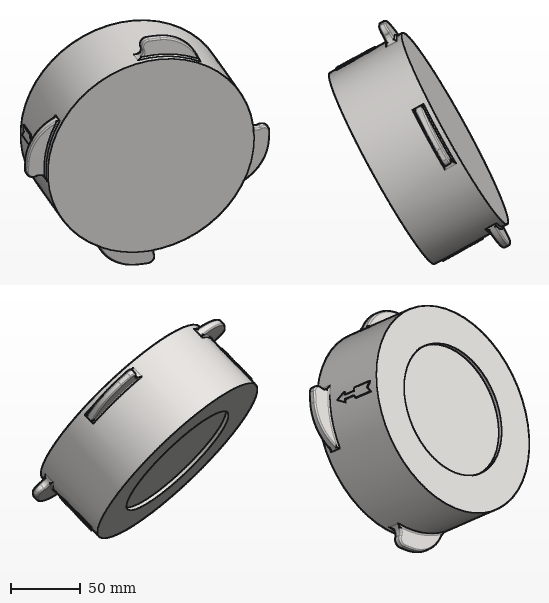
import cadquery as cq
import math

BODY_LENGTH = 60.0
BODY_RADIUS = 157.0 / 2
RECESS_RADIUS = 100.0 / 2
RECESS_DEPTH = 3.0

LUG_COUNT = 4
LUG_X = 51.5
LUG_TIP_RADIUS = 92.5
LUG_ROOT_THICKNESS = 6.7
LUG_TIP_THICKNESS = 5.2
LUG_BURIED_RADIUS = 0.8 * BODY_RADIUS
LUG_EDGE_ROUND = 1.1
FOOT_FILLET = 1.3
TIP_START_Y = 9.2
BACK_RADIUS = 35.2
NOSE_RADIUS = 5.2
FLARE_Y = -9.2
FLARE_RADIUS = 5.2

ARROW_COUNT = 2
ARROW_RELIEF = 1.0
ARROW_Z = 7.0
ARROW_TAIL_X = 6.1
ARROW_NOTCH_X = 8.9
ARROW_NECK_START_X = 21.0
ARROW_NECK_END_X = 22.4
ARROW_HEAD_X = 31.5
ARROW_TIP_X = 38.8
ARROW_HALF_WIDTH = 4.0
ARROW_NECK_HALF_WIDTH = 1.7

AXIS_POINT = (0, 0)
X_AXIS = ((0, 0, 0), (1, 0, 0))


def cylinder(radius, length):
    return cq.Workplane("YZ").circle(radius).extrude(length)


def point_on(centre, radius, angle):
    return (centre[0] + radius * math.cos(angle), centre[1] + radius * math.sin(angle))


def at_radius(y, radius):
    """Point above the axis with a given y and distance from the axis."""
    return (y, math.sqrt(radius**2 - y**2))


def along_radius(point, radius):
    """The point moved along its own radius to another distance from the axis."""
    scale = radius / math.hypot(*point)
    return (point[0] * scale, point[1] * scale)


def arc_middle(centre, start, end):
    """Middle of the shorter arc between two points of a circle."""
    radius = math.dist(centre, start)
    chord_y = (start[0] + end[0]) / 2 - centre[0]
    chord_z = (start[1] + end[1]) / 2 - centre[1]
    return point_on(centre, radius, math.atan2(chord_z, chord_y))


def lug_outline():
    """Side shape of the top lug in the YZ plane, closed inside the body."""
    tip_start = at_radius(TIP_START_Y, LUG_TIP_RADIUS)
    back_centre = along_radius(tip_start, LUG_TIP_RADIUS - BACK_RADIUS)
    nose_distance = LUG_TIP_RADIUS - NOSE_RADIUS
    flare_distance = BODY_RADIUS + FLARE_RADIUS
    flare_centre = at_radius(FLARE_Y, flare_distance)
    flare_foot = along_radius(flare_centre, BODY_RADIUS)
    buried_foot = along_radius(flare_centre, LUG_BURIED_RADIUS)

    centre_gap = NOSE_RADIUS + FLARE_RADIUS
    squares = nose_distance**2 + flare_distance**2 - centre_gap**2
    centre_angle = math.acos(squares / (2 * nose_distance * flare_distance))
    flare_angle = math.atan2(flare_centre[1], flare_centre[0])
    nose_centre = point_on(AXIS_POINT, nose_distance, flare_angle - centre_angle)
    tip_end = along_radius(nose_centre, LUG_TIP_RADIUS)
    nose_end = point_on(
        nose_centre,
        NOSE_RADIUS,
        math.atan2(flare_centre[1] - nose_centre[1], flare_centre[0] - nose_centre[0]),
    )

    back_end = point_on(back_centre, BACK_RADIUS, 0)

    return (
        cq.Workplane("YZ")
        .moveTo(*back_end)
        .threePointArc(point_on(back_centre, BACK_RADIUS, math.pi / 4), tip_start)
        .threePointArc(arc_middle(AXIS_POINT, tip_start, tip_end), tip_end)
        .threePointArc(arc_middle(nose_centre, tip_end, nose_end), nose_end)
        .threePointArc(arc_middle(flare_centre, nose_end, flare_foot), flare_foot)
        .lineTo(*buried_foot)
        .close()
        .extrude(BODY_LENGTH)
    )


def lug_half_thickness(radius):
    """Half the thickness of the tapered lug at a distance from the axis."""
    taper = (LUG_ROOT_THICKNESS - LUG_TIP_THICKNESS) / (LUG_TIP_RADIUS - BODY_RADIUS)
    return (LUG_ROOT_THICKNESS - taper * (radius - BODY_RADIUS)) / 2


def tapered_disc():
    """Disc around the X axis that thins outwards and gives the lug its two faces."""
    outer_radius = LUG_TIP_RADIUS + 2 * LUG_EDGE_ROUND
    centre_half = lug_half_thickness(0)
    rim_half = lug_half_thickness(outer_radius)
    return (
        cq.Workplane("XY")
        .polyline([
            (LUG_X - centre_half, 0),
            (LUG_X - rim_half, outer_radius),
            (LUG_X + rim_half, outer_radius),
            (LUG_X + centre_half, 0),
        ])
        .close()
        .revolve(360, *X_AXIS)
    )


def foot_disc():
    """Disc whose rim flares out to the body surface through a concave fillet on each side."""
    top_radius = BODY_RADIUS + FOOT_FILLET
    top_half = lug_half_thickness(top_radius)
    foot_half = top_half + FOOT_FILLET
    middle_half = foot_half - FOOT_FILLET * math.sin(math.pi / 4)
    middle_radius = top_radius - FOOT_FILLET * math.sin(math.pi / 4)
    return (
        cq.Workplane("XY")
        .moveTo(LUG_X - foot_half, 0)
        .lineTo(LUG_X - foot_half, BODY_RADIUS)
        .threePointArc((LUG_X - middle_half, middle_radius), (LUG_X - top_half, top_radius))
        .lineTo(LUG_X + top_half, top_radius)
        .threePointArc((LUG_X + middle_half, middle_radius), (LUG_X + foot_half, BODY_RADIUS))
        .lineTo(LUG_X + foot_half, 0)
        .close()
        .revolve(360, *X_AXIS)
    )


def top_lug():
    outline = lug_outline()
    blade = outline.intersect(tapered_disc())
    tip_face = blade.faces(cq.selectors.NearestToPointSelector((LUG_X, 0, LUG_TIP_RADIUS)))
    tip_edges = tip_face.edges("not |X")
    rounded_blade = tip_edges.fillet(LUG_EDGE_ROUND)
    foot = outline.intersect(foot_disc())
    return rounded_blade.union(foot)


def flow_arrow():
    """Raised arrow on the -Y side, following the curve of the body."""
    lower_half = [
        (ARROW_TIP_X, 0),
        (ARROW_HEAD_X, -ARROW_HALF_WIDTH),
        (ARROW_HEAD_X, -ARROW_NECK_HALF_WIDTH),
        (ARROW_NECK_END_X, -ARROW_NECK_HALF_WIDTH),
        (ARROW_NECK_START_X, -ARROW_HALF_WIDTH),
        (ARROW_TAIL_X, -ARROW_HALF_WIDTH),
        (ARROW_NOTCH_X, 0),
    ]
    upper_half = [(x, -z) for x, z in reversed(lower_half[1:-1])]
    prism = (
        cq.Workplane("XZ", origin=(0, 0, ARROW_Z))
        .polyline(lower_half + upper_half)
        .close()
        .extrude(2 * BODY_RADIUS)
    )
    relief = cylinder(BODY_RADIUS + ARROW_RELIEF, BODY_LENGTH)
    return prism.intersect(relief)


def around_axis(shape, count):
    return [shape.rotate(*X_AXIS, i * 360 / count) for i in range(count)]


def body():
    recess = cylinder(RECESS_RADIUS, RECESS_DEPTH)
    return cylinder(BODY_RADIUS, BODY_LENGTH).cut(recess)


result = body()
for feature in around_axis(top_lug(), LUG_COUNT) + around_axis(flow_arrow(), ARROW_COUNT):
    result = result.union(feature)